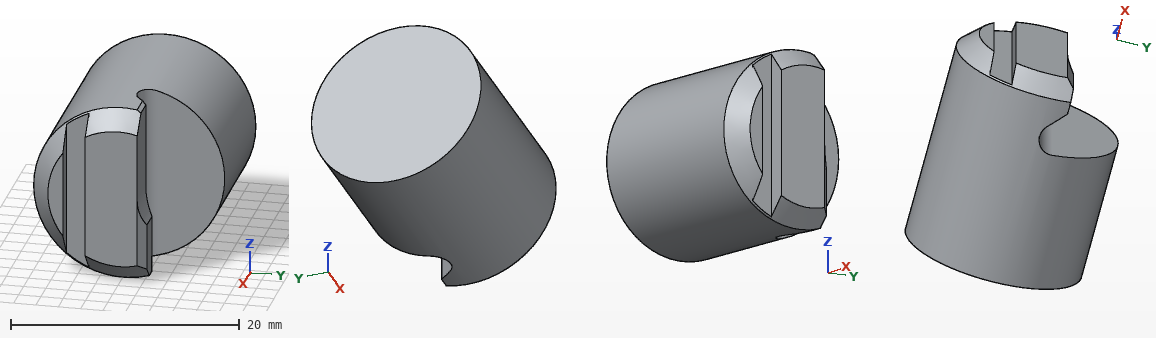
import cadquery as cq
import math

body_radius = 8.0
body_length = 19.3
end_chamfer = 1.65

slot_near_y = -3.0
slot_width = 2.0
slot_depth = 1.5

notch_wall_x = 12.55
notch_radius = 1.5
notch_floor_y = 0.5
notch_centre_x = notch_wall_x + notch_radius
notch_centre_y = notch_floor_y + notch_radius
ramp_angle = math.radians(45)
hook_wall_y = 1.66
hook_tip_y = 2.37

bevel_angle = math.radians(30)
bevel_start_y = 1.29
bevel_start_z = math.sqrt(body_radius**2 - bevel_start_y**2)
bevel_end_z = bevel_start_z - (hook_wall_y - bevel_start_y) * math.tan(bevel_angle)

flare_radius = 4.7
flare_start_z = 0.0

clearance = 2.0


def make_body():
    """Round bar with a conical chamfer on its +X end."""
    bar = cq.Workplane("YZ").circle(body_radius).extrude(body_length)
    return bar.faces(">X").chamfer(end_chamfer)


def make_slot():
    """Slot through the full height of the +X end."""
    return cq.Workplane("XY").box(
        slot_depth + clearance,
        slot_width,
        2 * (body_radius + clearance),
        centered=(False, False, True),
    ).translate((body_length - slot_depth, slot_near_y - slot_width, 0))


def make_notch():
    """Space beside the hook, seen along Z: wall, round floor, 45 degree ramp, tip and 45 degree nose."""
    ramp_x = notch_centre_x + notch_radius * math.sin(ramp_angle)
    ramp_y = notch_centre_y - notch_radius * math.cos(ramp_angle)
    tip_start_x = ramp_x + (hook_tip_y - ramp_y) / math.tan(ramp_angle)
    tip_end_x = body_length - (hook_tip_y - hook_wall_y) / math.tan(ramp_angle)
    outer_x = body_length + clearance
    outer_y = body_radius + clearance
    return (
        cq.Workplane("XY", origin=(0, 0, -body_radius - clearance))
        .moveTo(notch_wall_x, outer_y)
        .lineTo(notch_wall_x, notch_centre_y)
        .threePointArc((notch_centre_x, notch_floor_y), (ramp_x, ramp_y))
        .lineTo(tip_start_x, hook_tip_y)
        .lineTo(tip_end_x, hook_tip_y)
        .lineTo(body_length, hook_wall_y)
        .lineTo(outer_x, hook_wall_y)
        .lineTo(outer_x, outer_y)
        .close()
        .extrude(2 * (body_radius + clearance))
    )


def make_hook_relief():
    """Space above the hook, seen along X: sloped flat, upright wall and concave flare."""
    flare_angle = math.acos(1 - (hook_tip_y - hook_wall_y) / flare_radius)
    flare_mid_y = hook_wall_y + flare_radius * (1 - math.cos(flare_angle / 2))
    flare_mid_z = flare_start_z - flare_radius * math.sin(flare_angle / 2)
    flare_end_z = flare_start_z - flare_radius * math.sin(flare_angle)
    outer_y = body_radius + clearance
    outer_z = body_radius + clearance
    return (
        cq.Workplane("YZ", origin=(notch_centre_x, 0, 0))
        .moveTo(bevel_start_y, outer_z)
        .lineTo(bevel_start_y, bevel_start_z)
        .lineTo(hook_wall_y, bevel_end_z)
        .lineTo(hook_wall_y, flare_start_z)
        .threePointArc((flare_mid_y, flare_mid_z), (hook_tip_y, flare_end_z))
        .lineTo(outer_y, flare_end_z)
        .lineTo(outer_y, outer_z)
        .close()
        .extrude(body_length + clearance - notch_centre_x)
    )


result = make_body().cut(make_slot()).cut(make_notch()).cut(make_hook_relief())